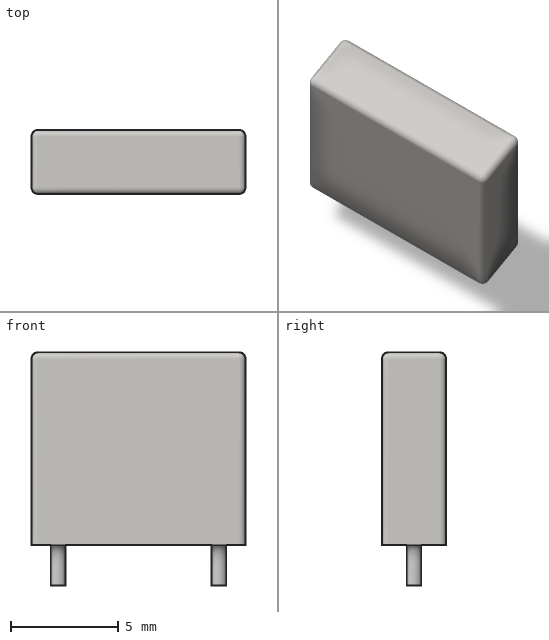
import cadquery as cq

total_height = 10.9
body_length = 10.0
body_width = 3.0
body_height = 9.0
edge_radius = 0.3

pin_diameter = 0.7
pin_spacing = 7.5
pin_length = total_height - body_height


def make_body():
    """Box standing on Z = 0, rounded on every edge except around its flat base."""
    box = cq.Workplane("XY").box(body_length, body_width, body_height, centered=(True, True, False))
    return box.edges("|Z or >Z").fillet(edge_radius)


def make_pins():
    """Two pins hanging from the base, centred across the width."""
    pin_centres = [(-pin_spacing / 2, 0), (pin_spacing / 2, 0)]
    return cq.Workplane("XY").pushPoints(pin_centres).circle(pin_diameter / 2).extrude(-pin_length)


result = make_body().union(make_pins())